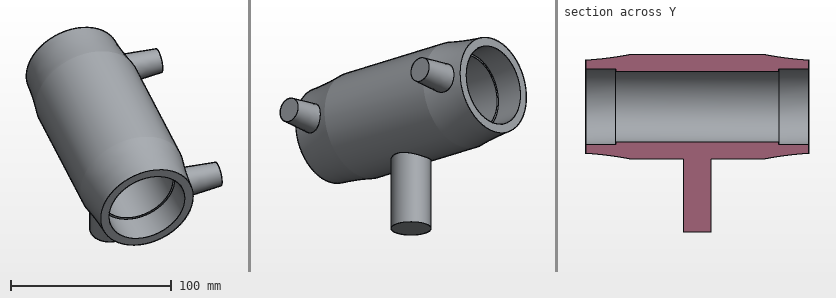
import cadquery as cq

length = 139.0
body_radius = 68.0 / 2
end_radius = 30.6
end_length = 27.8
end_mid_radius = 31.8
socket_diameter = 50.0
bore_diameter = 47.5
socket_depth = 18.6

branch_diameter = 25.0
branch_bottom = 112.0 - body_radius

terminal_tip = 86.0 - body_radius
terminal_tip_diameter = 15.3
terminal_base = 27.8
terminal_base_diameter = 18.9
terminal_inset = 14.2

half_length = length / 2
shoulder = half_length - end_length
end_middle = half_length - end_length / 2


def make_sleeve():
    """Solid barrel whose ends narrow along a shallow concave arc."""
    return (
        cq.Workplane("XY")
        .moveTo(-half_length, 0)
        .lineTo(-half_length, end_radius)
        .threePointArc((-end_middle, end_mid_radius), (-shoulder, body_radius))
        .lineTo(shoulder, body_radius)
        .threePointArc((end_middle, end_mid_radius), (half_length, end_radius))
        .lineTo(half_length, 0)
        .close()
        .revolve(360, (0, 0, 0), (1, 0, 0))
    )


def make_branch():
    """Round branch from the sleeve axis down to its free end."""
    return cq.Workplane("XY").circle(branch_diameter / 2).extrude(-branch_bottom)


def make_terminal(x):
    """Cone frustum that narrows towards +Y."""
    cone = cq.Solid.makeCone(
        terminal_base_diameter / 2,
        terminal_tip_diameter / 2,
        terminal_tip - terminal_base,
        cq.Vector(x, terminal_base, 0),
        cq.Vector(0, 1, 0),
    )
    return cq.Workplane(cone)


def make_bore():
    """Through bore with a slightly wider pipe socket at each end."""
    bore = cq.Workplane("YZ").circle(bore_diameter / 2).extrude(half_length, both=True)
    for start in (-half_length, half_length - socket_depth):
        socket = (
            cq.Workplane("YZ", origin=(start, 0, 0))
            .circle(socket_diameter / 2)
            .extrude(socket_depth)
        )
        bore = bore.union(socket)
    return bore


result = make_sleeve().union(make_branch())
for side in (-1, 1):
    result = result.union(make_terminal(side * (half_length - terminal_inset)))
result = result.cut(make_bore())